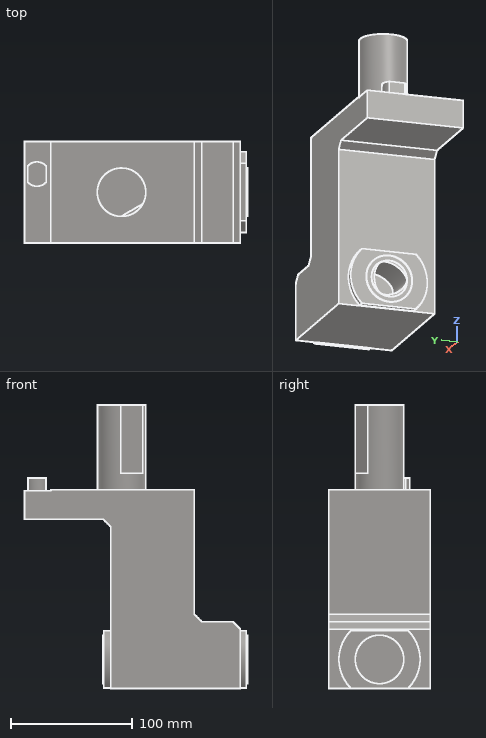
import cadquery as cq
import math

total_height = 234.0
body_width = 84.0
body_height = 164.0

plate_left = -80.0
column_left = -9.0
column_right = 60.1
foot_right = 98.0
plate_thickness = 24.5
foot_height = 55.2
corner_chamfer = 6.0
step_length = 21.8
step_depth = 0.7

shank_diameter = 40.0
flat_length = 56.6
flat_distance = 17.0
flat_angle = 30.0

pin_diameter = 20.1
pin_flat_width = 15.0
pin_inset = 10.3
pin_y = 15.0
pin_top = body_height + 9.8

spindle_z = 24.0
flange_diameter = 67.0
flange_height = 47.3
left_flange_thickness = 5.8
right_flange_thickness = 5.0
ring_diameter = 40.0
ring_thickness = 1.0

recess_diameter = 31.1
recess_depth = 0.5
socket_depth = 32.8
socket_mean_radius = 14.15
socket_lobe_offset = 1.2
socket_taper = 0.82
socket_points = 36


def make_body():
    plate_bottom = body_height - plate_thickness
    outline = [
        (column_left, 0),
        (foot_right, 0),
        (foot_right, foot_height - corner_chamfer),
        (foot_right - corner_chamfer, foot_height),
        (column_right + corner_chamfer, foot_height),
        (column_right, foot_height + corner_chamfer),
        (column_right, body_height),
        (plate_left + step_length, body_height),
        (plate_left + step_length, body_height - step_depth),
        (plate_left, body_height - step_depth),
        (plate_left, plate_bottom),
        (column_left - corner_chamfer, plate_bottom),
        (column_left, plate_bottom - corner_chamfer),
    ]
    return cq.Workplane("XZ").polyline(outline).close().extrude(body_width / 2, both=True)


def make_shank():
    radius = shank_diameter / 2
    shank = cq.Workplane("XY", origin=(0, 0, body_height)).circle(radius)
    shank = shank.extrude(total_height - body_height)
    cutter = (
        cq.Workplane("XY", origin=(0, 0, total_height - flat_length))
        .center(0, -flat_distance - radius / 2)
        .rect(shank_diameter, radius)
        .extrude(flat_length)
        .rotate((0, 0, 0), (0, 0, 1), flat_angle)
    )
    return shank.cut(cutter)


def make_pin():
    base = body_height - step_depth
    height = pin_top - base
    pin_plane = cq.Workplane("XY", origin=(plate_left + pin_inset, pin_y, base))
    flats = pin_plane.rect(pin_flat_width, pin_diameter).extrude(height)
    return pin_plane.circle(pin_diameter / 2).extrude(height).intersect(flats)


def make_flange(face_x, thickness, direction):
    """Flange with flats above and below, and a thin ring on its outer face."""
    plane = cq.Workplane("YZ", origin=(face_x, 0, spindle_z))
    flats = plane.rect(flange_diameter, flange_height).extrude(direction * thickness)
    flange = plane.circle(flange_diameter / 2).extrude(direction * thickness).intersect(flats)
    ring = plane.circle(ring_diameter / 2).extrude(direction * (thickness + ring_thickness))
    return flange.union(ring)


def socket_outline(mean_radius):
    """Points of a smooth three-lobed curve with one lobe toward -Y."""
    points = []
    for index in range(socket_points):
        angle = 2 * math.pi * index / socket_points
        support = mean_radius + socket_lobe_offset * math.cos(3 * angle)
        slope = -3 * socket_lobe_offset * math.sin(3 * angle)
        outward = support * math.cos(angle) - slope * math.sin(angle)
        sideways = support * math.sin(angle) + slope * math.cos(angle)
        points.append((-outward, sideways))
    return points


def make_socket():
    mouth_x = column_left - left_flange_thickness - ring_thickness
    plane = cq.Workplane("YZ", origin=(mouth_x, 0, spindle_z))
    recess = plane.circle(recess_diameter / 2).extrude(recess_depth)
    socket = (
        plane.spline(socket_outline(socket_mean_radius), periodic=True, makeWire=True)
        .workplane(offset=socket_depth)
        .spline(socket_outline(socket_mean_radius - socket_taper), periodic=True, makeWire=True)
        .loft(combine=True)
    )
    return socket.union(recess)


result = (
    make_body()
    .union(make_shank())
    .union(make_pin())
    .union(make_flange(column_left, left_flange_thickness, -1))
    .union(make_flange(foot_right, right_flange_thickness, 1))
    .cut(make_socket())
)